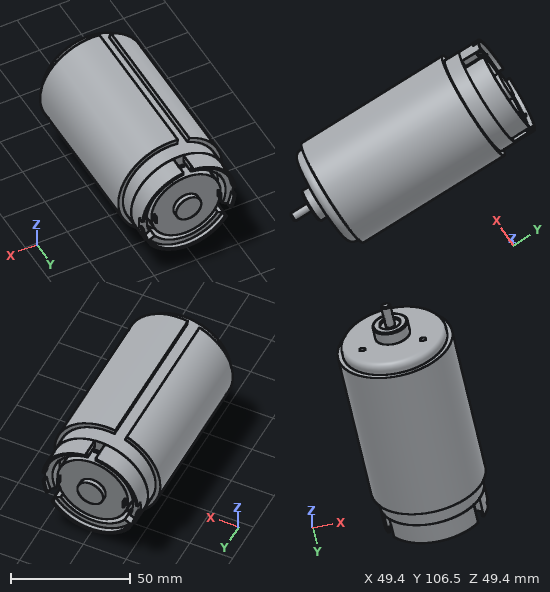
import cadquery as cq
import math


overall_length = 106.5
shaft_reach = 15.0
back_end = overall_length - shaft_reach

can_diameter = 45.0
can_nose_fillet = 3.0

shaft_diameter = 4.0
shaft_chamfer = 0.5
boss_diameter = 15.0
boss_length = 5.8
boss_chamfer = 0.5
boss_recess_diameter = 9.0
boss_recess_depth = 1.0

mount_hole_count = 3
mount_hole_diameter = 2.5
mount_hole_depth = 5.0
mount_hole_pitch_radius = 15.0
drill_half_angle = 59.0

sleeve_diameter = 49.4
sleeve_start = 5.0
sleeve_length = 70.0
sleeve_gap_center = 105.0
sleeve_gap_angle = 13.0

cap_diameter = 44.8
cap_length = 9.3
cap_start = back_end - cap_length
cap_recess_depth = 2.4
cap_rim_thickness = 0.9
cap_recess_diameter = cap_diameter - 2 * cap_rim_thickness
rear_boss_diameter = 12.0

cap_wall_inner_diameter = 37.6
core_diameter = 33.0
core_end = back_end - cap_recess_depth

cap_slot_count = 3
cap_slot_width = 4.8
ledge_rise = 0.3
ledge_length = 0.95

notch_width = 4.8
blade_width = 3.0
blade_thickness = 0.5
blade_radius = 15.0
blade_hole_diameter = 1.5
blade_hole_from_end = 1.35


def cylinder(diameter, start, length):
    """Cylinder on the motor axis, running from y = start towards +Y."""
    return cq.Workplane("XZ", origin=(0, start, 0)).circle(diameter / 2).extrude(-length)


def block(x_limits, y_limits, z_limits):
    """Axis-aligned box between the given limits."""
    low_corner = (x_limits[0], y_limits[0], z_limits[0])
    size = (x_limits[1] - x_limits[0], y_limits[1] - y_limits[0], z_limits[1] - z_limits[0])
    return cq.Workplane("XY").box(*size, centered=False).translate(low_corner)


def turn(shape, angle):
    """Rotate a shape about the motor axis, from +X towards +Z."""
    return shape.rotate((0, 0, 0), (0, 1, 0), -angle)


def make_can():
    can = cylinder(can_diameter, 0, cap_start)
    return can.faces("<Y").edges().fillet(can_nose_fillet)


def make_sleeve():
    tube = cylinder(sleeve_diameter, sleeve_start, sleeve_length)
    tube = tube.cut(cylinder(can_diameter, sleeve_start, sleeve_length))
    half_angle = math.radians(sleeve_gap_angle / 2)
    wedge_length = sleeve_diameter
    wedge_half_width = wedge_length * math.tan(half_angle)
    wedge = (
        cq.Workplane("XZ", origin=(0, sleeve_start, 0))
        .polyline([(0, 0), (wedge_length, -wedge_half_width), (wedge_length, wedge_half_width)])
        .close()
        .extrude(-sleeve_length)
    )
    return tube.cut(turn(wedge, sleeve_gap_center))


def make_boss():
    boss = cylinder(boss_diameter, -boss_length, boss_length)
    boss = boss.faces("<Y").edges().chamfer(boss_chamfer)
    return boss.cut(cylinder(boss_recess_diameter, -boss_length, boss_recess_depth))


def make_shaft():
    shaft = cylinder(shaft_diameter, -shaft_reach, shaft_reach)
    return shaft.faces("<Y").edges().chamfer(shaft_chamfer)


def make_mount_hole():
    """Drilled hole with a conical tip, at the top of the pitch circle."""
    radius = mount_hole_diameter / 2
    tip_depth = mount_hole_depth + radius / math.tan(math.radians(drill_half_angle))
    profile = [(0, 0), (radius, 0), (radius, mount_hole_depth), (0, tip_depth)]
    hole = cq.Workplane("XY").polyline(profile).close().revolve(360, (0, 0, 0), (0, 1, 0))
    return hole.translate((0, 0, mount_hole_pitch_radius))


def make_wall_opening(width, depth):
    """Opening through the cap wall on the +X side, cut in from the back end."""
    return block(
        (core_diameter / 2, cap_diameter / 2),
        (back_end - depth, back_end),
        (-width / 2, width / 2),
    )


def make_blade():
    """Flat terminal with a round eye, standing in the recess on the +X side."""
    blade = block(
        (blade_radius, blade_radius + blade_thickness),
        (core_end, back_end),
        (-blade_width / 2, blade_width / 2),
    )
    eye = (
        cq.Workplane("YZ", origin=(blade_radius, back_end - blade_hole_from_end, 0))
        .circle(blade_hole_diameter / 2)
        .extrude(blade_thickness)
    )
    return blade.cut(eye)


def make_cap():
    cap = cylinder(cap_diameter, cap_start, cap_length)
    cap = cap.cut(cylinder(cap_wall_inner_diameter, cap_start, cap_length))
    cap = cap.cut(cylinder(cap_recess_diameter, core_end, cap_recess_depth))

    slot = make_wall_opening(cap_slot_width, cap_length)
    for index in range(cap_slot_count):
        cap = cap.cut(turn(slot, 90 + index * 360 / cap_slot_count))
    notch = make_wall_opening(notch_width, cap_recess_depth)
    for side_angle in (0, 180):
        cap = cap.cut(turn(notch, side_angle))
    return cap


def make_core():
    core = cylinder(core_diameter, cap_start, core_end - cap_start)
    core = core.union(cylinder(rear_boss_diameter, core_end, cap_recess_depth))
    for side_angle in (0, 180):
        core = core.union(turn(make_blade(), side_angle))
    ledge = block(
        (-cap_slot_width / 2, cap_slot_width / 2),
        (cap_start, cap_start + ledge_length),
        (0, core_diameter / 2 + ledge_rise),
    )
    return core.union(ledge)


result = make_can()
for index in range(mount_hole_count):
    result = result.cut(turn(make_mount_hole(), index * 360 / mount_hole_count))
for body in (make_sleeve(), make_boss(), make_shaft(), make_core(), make_cap()):
    result = result.union(body)